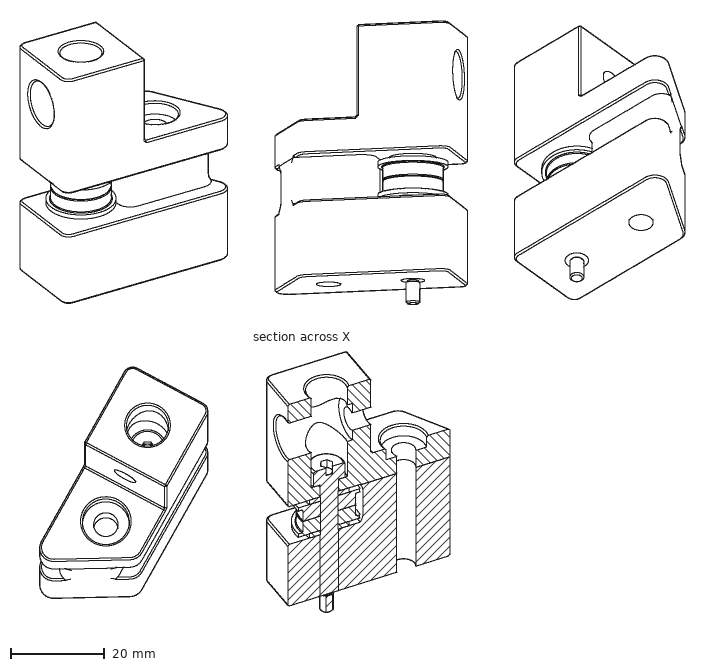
import cadquery as cq
import math

width = 20.0
side_length = 32.5
slant_angle = 30.0
front_corner_radius = 2.0
rear_corner_radius = 3.0
edge_chamfer = 0.4

base_bottom = 5.0
base_top = 21.65
pulley_gap = 10.0
arm_thickness = 7.55
tower_height = 20.0
tower_depth = 20.0

column_width = 11.0
column_front = 18.0
column_corner_radius = 2.5
flare_radius = 3.0
flare_height = 1.8

pulley_y = 10.0
clamp_hole_y = 28.5
clamp_hole_diameter = 5.2
clamp_head_diameter = 10.0
clamp_head_depth = 3.0
tower_bore_depth = 15.5

shoulder_diameter = 5.0
shoulder_length = 30.0
screw_head_diameter = 8.0
screw_head_height = 4.0
screw_head_chamfer = 0.45
screw_bore_diameter = 8.95
hex_across_flats = 2.5
hex_depth = 2.0
hex_tip_slope = 30.0
neck_diameter = 2.3
neck_length = 0.4
thread_diameter = 3.0

bearing_diameter = 13.0
bearing_width = 4.0
bearing_chamfer = 0.2
flange_diameter = 15.0
flange_thickness = 1.0
washer_diameter = 10.0
washer_thickness = 1.0

tolerance = 0.01
half_width = width / 2
arm_bottom = base_top + pulley_gap
arm_top = arm_bottom + arm_thickness
tower_top = arm_top + tower_height
tower_bore_z = tower_top - tower_height / 2
screw_seat = base_bottom + shoulder_length
gap_middle = base_top + pulley_gap / 2
column_half_width = column_width / 2


def slant_y(x):
    """Y of the slanted rear face at a given X."""
    return side_length + (x + half_width) * math.tan(math.radians(slant_angle))


def slanted_prism(half, front, front_radius, rear_radius, bottom, top):
    """Upright prism whose rear face is slanted, with rounded upright edges."""
    prism = (
        cq.Workplane("XY", origin=(0, 0, bottom))
        .polyline([(-half, front), (half, front), (half, slant_y(half)), (-half, slant_y(-half))])
        .close()
        .extrude(top - bottom)
    )
    middle = (front + side_length) / 2
    front_edges = cq.selectors.BoxSelector((-width, -width, bottom), (width, middle, top))
    rear_edges = cq.selectors.BoxSelector((-width, middle, bottom), (width, slant_y(width), top))
    prism = prism.edges("|Z").edges(front_edges).fillet(front_radius)
    return prism.edges("|Z").edges(rear_edges).fillet(rear_radius)


def block(bottom, top):
    """Slanted prism with the full outline of the part."""
    return slanted_prism(half_width, 0, front_corner_radius, rear_corner_radius, bottom, top)


def upright_hole(y, diameter, bottom, top):
    return cq.Workplane("XY", origin=(0, y, bottom)).circle(diameter / 2).extrude(top - bottom)


def chamfered_bore(plane, diameter, depth):
    """Flat-bottomed bore sunk below a plane, with a chamfered mouth."""
    bore = plane.circle(diameter / 2).extrude(-depth)
    mouth = plane.circle(diameter / 2 + edge_chamfer).extrude(-edge_chamfer, taper=45)
    return bore.union(mouth)


def flared_column():
    """Column that flares out in an arc towards both blocks, flush with the slanted rear face.

    Its flared ends run on into the edge chamfers of the blocks.
    """
    flare_overrun = flare_radius - flare_height
    bottom = base_top - flare_overrun
    top = arm_bottom + flare_overrun
    column = slanted_prism(
        column_half_width, column_front, column_corner_radius, column_corner_radius, bottom, top
    )
    plate_size = 4 * width
    for level, direction in ((bottom, -1), (top, 1)):
        plate = cq.Workplane("XY", origin=(0, clamp_hole_y, level)).rect(plate_size, plate_size)
        column = column.union(plate.extrude(direction))
        junction = cq.selectors.BoxSelector(
            (-half_width, 0, level - tolerance), (half_width, slant_y(half_width), level + tolerance)
        )
        column = column.edges(junction).fillet(flare_radius)
    return column.intersect(block(base_top, arm_bottom))


def chamfer_pad(column, face_selector):
    """The column's flared end section, continued through a block's edge chamfer."""
    end = column.faces(face_selector).wires().toPending().workplane()
    return end.extrude(edge_chamfer, combine=False)


def make_base(column):
    base = block(base_bottom, base_top).faces("<Z or >Z").edges().chamfer(edge_chamfer)
    base = base.union(chamfer_pad(column, "<Z")).union(column)
    base = base.cut(upright_hole(clamp_hole_y, clamp_hole_diameter, base_bottom, arm_bottom))
    return base.cut(upright_hole(pulley_y, shoulder_diameter, base_bottom, base_top))


def step_above_arm():
    """Space above the arm and behind the tower, with a bevel in the inner corner."""
    reach = slant_y(half_width)
    return (
        cq.Workplane("YZ")
        .moveTo(tower_depth, tower_top)
        .lineTo(tower_depth, arm_top + edge_chamfer)
        .lineTo(tower_depth + edge_chamfer, arm_top)
        .lineTo(reach, arm_top)
        .lineTo(reach, tower_top)
        .close()
        .extrude(half_width, both=True)
    )


def chamfer_bracket(body):
    """Chamfer the underside and the rim of the stepped top, but not its inner corner."""
    body = body.faces("<Z").edges().chamfer(edge_chamfer)
    top_faces = cq.selectors.BoxSelector(
        (-half_width / 2, edge_chamfer, arm_top - tolerance),
        (half_width / 2, slant_y(half_width), tower_top + tolerance),
    )
    inner_corner = cq.selectors.BoxSelector(
        (-tolerance, tower_depth - tolerance, arm_top - tolerance),
        (tolerance, tower_depth + edge_chamfer + tolerance, arm_top + edge_chamfer + tolerance),
    )
    rim = body.faces(top_faces).edges(cq.selectors.InverseSelector(inner_corner))
    return rim.chamfer(edge_chamfer)


def make_bracket(column):
    body = chamfer_bracket(block(arm_bottom, tower_top).cut(step_above_arm()))
    body = body.union(chamfer_pad(column, ">Z"))

    arm_face = cq.Workplane("XY", origin=(0, clamp_hole_y, arm_top))
    body = body.cut(upright_hole(clamp_hole_y, clamp_hole_diameter, arm_bottom, arm_top))
    body = body.cut(chamfered_bore(arm_face, clamp_head_diameter, clamp_head_depth))

    tower_face = cq.Workplane("XY", origin=(0, pulley_y, tower_top))
    body = body.cut(upright_hole(pulley_y, shoulder_diameter, arm_bottom, tower_top))
    body = body.cut(chamfered_bore(tower_face, screw_bore_diameter, tower_top - screw_seat))

    front_face = cq.Workplane("XZ", origin=(0, 0, tower_bore_z))
    body = body.cut(chamfered_bore(front_face, clamp_head_diameter, tower_bore_depth))
    return body.cut(front_face.circle(clamp_hole_diameter / 2).extrude(-tower_depth))


def make_screw():
    """Screw with a chamfered head, a plain shoulder and a necked tip, which ends at Z = 0."""
    head_radius = screw_head_diameter / 2
    head_top = screw_seat + screw_head_height
    thread_top = base_bottom - neck_length
    thread_chamfer = (thread_diameter - neck_diameter) / 2
    profile = [
        (0, 0),
        (neck_diameter / 2, 0),
        (thread_diameter / 2, thread_chamfer),
        (thread_diameter / 2, thread_top),
        (neck_diameter / 2, thread_top),
        (neck_diameter / 2, base_bottom),
        (shoulder_diameter / 2, base_bottom),
        (shoulder_diameter / 2, screw_seat),
        (head_radius, screw_seat),
        (head_radius, head_top - screw_head_chamfer),
        (head_radius - screw_head_chamfer, head_top),
        (0, head_top),
    ]
    screw = cq.Workplane("XZ").polyline(profile).close().revolve(360, (0, 0), (0, 1))
    hex_diameter = 2 * hex_across_flats / math.sqrt(3)
    socket = (
        cq.Workplane("XY", origin=(0, 0, head_top))
        .transformed(rotate=(0, 0, 90))
        .polygon(6, hex_diameter)
        .extrude(-hex_depth)
    )
    tip_radius = hex_across_flats / 2
    tip_height = tip_radius * math.tan(math.radians(hex_tip_slope))
    tip_top = cq.Vector(0, 0, head_top - hex_depth)
    tip = cq.Solid.makeCone(tip_radius, 0, tip_height, pnt=tip_top, dir=cq.Vector(0, 0, -1))
    return screw.cut(socket).cut(cq.Workplane(tip)).translate((0, pulley_y, 0))


def make_washer(bottom):
    return (
        cq.Workplane("XY", origin=(0, pulley_y, bottom))
        .circle(washer_diameter / 2)
        .circle(shoulder_diameter / 2)
        .extrude(washer_thickness)
    )


def make_bearing(middle, side):
    """Bearing on one side (+1 above, -1 below) of the middle plane, with its flange away from it."""
    bore = shoulder_diameter / 2
    outer = bearing_diameter / 2
    flange = flange_diameter / 2
    profile = [
        (bore, 0),
        (outer - bearing_chamfer, 0),
        (outer, side * bearing_chamfer),
        (outer, side * (bearing_width - flange_thickness - bearing_chamfer)),
        (outer + bearing_chamfer, side * (bearing_width - flange_thickness)),
        (flange, side * (bearing_width - flange_thickness)),
        (flange, side * bearing_width),
        (bore, side * bearing_width),
    ]
    ring = cq.Workplane("XZ").polyline(profile).close().revolve(360, (0, 0), (0, 1))
    return ring.translate((0, pulley_y, middle))


column = flared_column()
base = make_base(column)
bracket = make_bracket(column)
screw = make_screw()
bearings = [make_bearing(gap_middle, side) for side in (-1, 1)]
washers = [make_washer(bottom) for bottom in (base_top, arm_bottom - washer_thickness)]

result = cq.Compound.makeCompound(
    [body.val() for body in [base, bracket, screw, *bearings, *washers]]
)